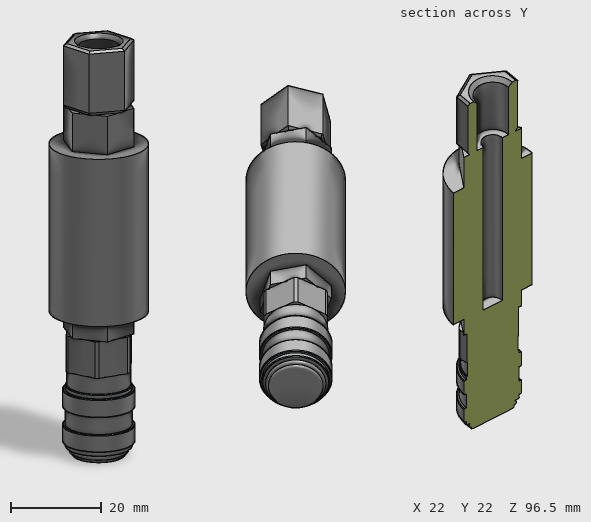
import cadquery as cq
import math

TOTAL_HEIGHT = 96.5
NUT_BOTTOM = 81.5
BODY_TOP = 72.6
BODY_BOTTOM = 33.6
SWIVEL_TOP = 28.95
SWIVEL_BOTTOM = 20.5

BODY_DIAMETER = 22.0
HEX_FLATS = 14.0
NUT_TURN = 31.0
NUT_CHAMFER_HEIGHT = 0.5
NUT_CHAMFER_INSET = 0.7
SWIVEL_FLATS = 14.1
SWIVEL_TURN = 43.5
SWIVEL_CORNER_FLAT = 0.9

PORT_DIAMETER = 8.7
PORT_MOUTH_DIAMETER = 10.7
PORT_MOUTH_CHAMFER = (PORT_MOUTH_DIAMETER - PORT_DIAMETER) / 2
PASSAGE_DIAMETER = 5.2

SLEEVE_DIAMETER = 14.2
CORE_DIAMETER = 14.9
RING_DIAMETER = 16.1
TIP_DIAMETER = 12.1

CORE_TOP = 16.5
UPPER_RING_TOP = 15.5
UPPER_RING_BOTTOM = 11.3
LOWER_RING_TOP = 7.2
LOWER_RING_BOTTOM = 3.2
CORE_BOTTOM = 2.0
EDGE_BEVEL = 0.2

BEAD_RADIUS = 0.63
TIP_ROUND = 0.6


def hex_prism(flats, turn, bottom, top):
    """Upright hexagonal prism; at zero turn two of its corners lie on the X axis."""
    corner_diameter = flats / math.cos(math.pi / 6)
    outline = cq.Workplane("XY").workplane(offset=bottom).polygon(6, corner_diameter)
    return outline.extrude(top - bottom).rotate((0, 0, 0), (0, 0, 1), turn)


def cylinder(diameter, bottom, top):
    return cq.Workplane("XY").workplane(offset=bottom).circle(diameter / 2).extrude(top - bottom)


def top_nut():
    """Hexagonal nut with bevelled ends, one bevel along each edge."""
    nut = hex_prism(HEX_FLATS, NUT_TURN, NUT_BOTTOM, TOTAL_HEIGHT)
    nut = nut.faces(">Z").chamfer(NUT_CHAMFER_HEIGHT, NUT_CHAMFER_INSET)
    return nut.faces("<Z").chamfer(NUT_CHAMFER_HEIGHT, NUT_CHAMFER_INSET)


def swivel_hex():
    """Hexagon whose six corners are cut to narrow flats."""
    chamfer = SWIVEL_CORNER_FLAT / (2 * math.sin(math.pi / 3))
    prism = hex_prism(SWIVEL_FLATS, SWIVEL_TURN, SWIVEL_BOTTOM, SWIVEL_TOP)
    return prism.edges("|Z").chamfer(chamfer)


def bevelled_disc(diameter, bottom, top):
    return cylinder(diameter, bottom, top).edges().chamfer(EDGE_BEVEL)


def bead():
    """Half-round band around the tip, directly under the core."""
    inner = TIP_DIAMETER / 2
    middle = CORE_BOTTOM - BEAD_RADIUS
    section = (
        cq.Workplane("XZ")
        .moveTo(inner, middle + BEAD_RADIUS)
        .threePointArc((inner + BEAD_RADIUS, middle), (inner, middle - BEAD_RADIUS))
        .close()
    )
    return section.revolve(360, (0, 0), (0, 1))


def coupling():
    """Round coupling below the swivel hexagon: sleeve, ringed core, bead and tip."""
    sleeve = cylinder(SLEEVE_DIAMETER, CORE_TOP, SWIVEL_BOTTOM)
    core = bevelled_disc(CORE_DIAMETER, CORE_BOTTOM, CORE_TOP)
    upper_ring = bevelled_disc(RING_DIAMETER, UPPER_RING_BOTTOM, UPPER_RING_TOP)
    lower_ring = bevelled_disc(RING_DIAMETER, LOWER_RING_BOTTOM, LOWER_RING_TOP)
    tip = cylinder(TIP_DIAMETER, 0, CORE_BOTTOM).faces("<Z").edges().fillet(TIP_ROUND)
    return sleeve.union(core).union(upper_ring).union(lower_ring).union(tip).union(bead())


def port():
    """Bore through the nut with a countersunk mouth, and a passage down to the body floor."""
    bore = cylinder(PORT_DIAMETER, NUT_BOTTOM, TOTAL_HEIGHT)
    mouth = (
        cq.Workplane("XY")
        .workplane(offset=TOTAL_HEIGHT - PORT_MOUTH_CHAMFER)
        .circle(PORT_DIAMETER / 2)
        .workplane(offset=PORT_MOUTH_CHAMFER)
        .circle(PORT_MOUTH_DIAMETER / 2)
        .loft()
    )
    passage = cylinder(PASSAGE_DIAMETER, BODY_BOTTOM, NUT_BOTTOM)
    return bore.union(mouth).union(passage)


hex_bar = hex_prism(HEX_FLATS, 0, SWIVEL_TOP, NUT_BOTTOM)
body = cylinder(BODY_DIAMETER, BODY_BOTTOM, BODY_TOP)

result = body.union(hex_bar).union(top_nut()).union(swivel_hex()).union(coupling()).cut(port())